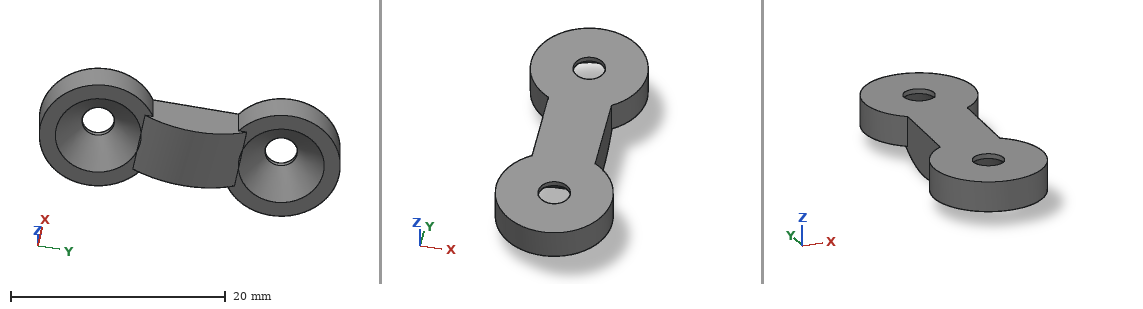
import cadquery as cq

length = 28.35
disc_diameter = 11.0
hole_diameter = 3.0
countersink_diameter = 8.0
lip_thickness = 0.48
thickness = 3.0
total_height = 4.48
bar_width = 5.98
belly_length = 9.65

hole_spacing = length - disc_diameter
countersink_depth = thickness - lip_thickness
belly_depth = total_height - thickness
hole_centers = [(0, -hole_spacing / 2), (0, hole_spacing / 2)]


def make_link():
    """Two round ends joined by a straight bar, with the underside at Z = 0."""
    discs = cq.Workplane("XY").pushPoints(hole_centers).circle(disc_diameter / 2).extrude(thickness)
    bar = cq.Workplane("XY").rect(bar_width, hole_spacing).extrude(thickness)
    return discs.union(bar)


def make_belly():
    """Shallow circular-arc bulge under the middle of the bar, as wide as the bar."""
    return (
        cq.Workplane("YZ")
        .moveTo(-belly_length / 2, 0)
        .threePointArc((0, -belly_depth), (belly_length / 2, 0))
        .close()
        .extrude(bar_width / 2, both=True)
    )


def make_holes():
    """Through holes at the centres of the round ends."""
    return cq.Workplane("XY").pushPoints(hole_centers).circle(hole_diameter / 2).extrude(thickness)


def make_countersinks():
    """Conical countersinks in the underside, narrowing to the hole and leaving a thin lip at the top."""
    cone = cq.Solid.makeCone(countersink_diameter / 2, hole_diameter / 2, countersink_depth)
    return cq.Workplane("XY").pushPoints(hole_centers).eachpoint(lambda place: cone.moved(place))


result = make_link().union(make_belly()).cut(make_holes()).cut(make_countersinks())